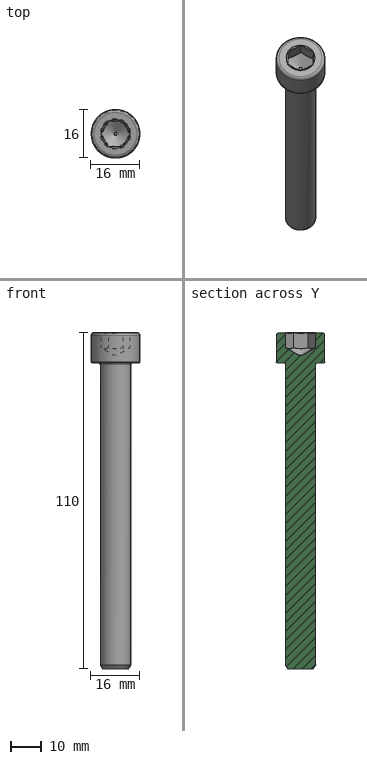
import cadquery as cq
import math

total_length = 110.0
head_diameter = 16.0
head_height = 10.0
shank_diameter = 10.0
head_top_fillet = 1.0
head_bottom_chamfer = 0.3
neck_fillet = 0.4
tip_chamfer_height = 1.3
tip_chamfer_inset = 0.9

socket_across_flats = 8.2
socket_depth = 5.0
floor_cone_angle = 120.0
floor_flat_diameter = 1.0
mouth_diameter = 9.4
mouth_angle = 120.0

head_bottom_z = total_length - head_height
socket_across_corners = socket_across_flats / math.cos(math.pi / 6)


def make_body():
    """Head and shank, revolved from a half section in the XZ plane."""
    head_radius = head_diameter / 2
    shank_radius = shank_diameter / 2
    fillet_middle = head_top_fillet * math.sqrt(0.5)
    neck_middle = neck_fillet * math.sqrt(0.5)
    return (
        cq.Workplane("XZ")
        .lineTo(shank_radius - tip_chamfer_inset, 0)
        .lineTo(shank_radius, tip_chamfer_height)
        .lineTo(shank_radius, head_bottom_z - neck_fillet)
        .threePointArc(
            (shank_radius + neck_fillet - neck_middle, head_bottom_z - neck_fillet + neck_middle),
            (shank_radius + neck_fillet, head_bottom_z),
        )
        .lineTo(head_radius - head_bottom_chamfer, head_bottom_z)
        .lineTo(head_radius, head_bottom_z + head_bottom_chamfer)
        .lineTo(head_radius, total_length - head_top_fillet)
        .threePointArc(
            (head_radius - head_top_fillet + fillet_middle, total_length - head_top_fillet + fillet_middle),
            (head_radius - head_top_fillet, total_length),
        )
        .lineTo(0, total_length)
        .close()
        .revolve(360, (0, 0, 0), (0, 1, 0))
    )


def make_cone(bottom_radius, top_radius, full_angle, top_z):
    """Truncated cone on the screw axis, widening upward to top_z."""
    height = (top_radius - bottom_radius) / math.tan(math.radians(full_angle / 2))
    base = cq.Vector(0, 0, top_z - height)
    return cq.Workplane(cq.Solid.makeCone(bottom_radius, top_radius, height, pnt=base))


def make_socket():
    """Hexagonal recess, its conical floor and the countersink at its mouth."""
    floor_z = total_length - socket_depth
    corner_radius = socket_across_corners / 2
    hexagon = cq.Workplane("XY").polygon(6, socket_across_corners).extrude(total_length)
    bore = cq.Workplane("XY").workplane(offset=floor_z).circle(corner_radius).extrude(socket_depth)
    floor_cone = make_cone(floor_flat_diameter / 2, corner_radius, floor_cone_angle, floor_z)
    countersink = make_cone(socket_across_flats / 2, mouth_diameter / 2, mouth_angle, total_length)
    return bore.union(floor_cone).intersect(hexagon).union(countersink)


result = make_body().cut(make_socket())